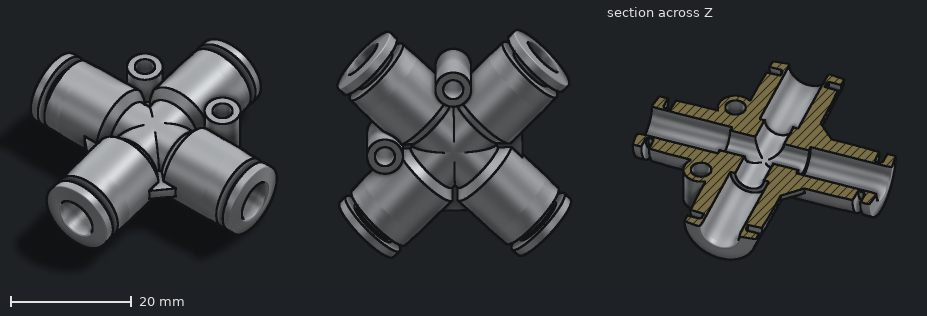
import cadquery as cq
import math

span = 42.6
body_diameter = 13.0
reach = span / 2
body_radius = body_diameter / 2

core_radius = 5.0
body_start = 7.0
cone_root = body_start - (body_radius - core_radius)
taper_start = 14.95
taper_end = 17.0
nose_radius = 6.4
body_end = 18.15
nose_slope = 0.13

neck_radius = 3.95
flange_back = 19.4
neck_flare = 0.3
rim_end = 20.8
rim_round = 0.2

bore_radius = 2.5
socket_radius = 3.35
socket_floor = body_start
lead_in_radius = 3.45
lead_in_depth = 1.1
mouth_round = 0.35
mouth_radius = lead_in_radius + mouth_round

lug_offset = 8.15
lug_radius = 3.0
lug_hole_radius = 1.65

rib_thickness = 2.0
rib_leg = 16.0


def turned(outline):
    """Revolve an open (radius, distance from centre) outline about Y."""
    return outline.close().revolve(360, (0, 0, 0), (0, 1, 0))


def arm():
    """Solid +Y arm: core, shoulder, body and release collar."""
    rim_corner = rim_round * math.sqrt(0.5)
    outline = (
        cq.Workplane("XY")
        .polyline([
            (0, 0),
            (core_radius, 0),
            (core_radius, cone_root),
            (body_radius, body_start),
            (body_radius, taper_start),
            (nose_radius, taper_end),
            (nose_radius, body_end - nose_slope),
            (neck_radius, body_end),
            (neck_radius, flange_back - neck_flare),
            (neck_radius + neck_flare, flange_back),
            (nose_radius, flange_back),
            (nose_radius, rim_end),
        ])
        .threePointArc(
            (nose_radius - rim_round + rim_corner, rim_end + rim_corner),
            (nose_radius - rim_round, rim_end + rim_round),
        )
        .lineTo(mouth_radius, reach)
        .lineTo(0, reach)
    )
    return turned(outline)


def arm_bore():
    """Passage and tube socket of the +Y arm, to be cut away."""
    mouth_corner = mouth_round * math.sqrt(0.5)
    outline = (
        cq.Workplane("XY")
        .polyline([
            (0, 0),
            (bore_radius, 0),
            (bore_radius, socket_floor),
            (socket_radius, socket_floor),
            (socket_radius, reach - lead_in_depth),
            (lead_in_radius, reach - mouth_round),
        ])
        .threePointArc(
            (mouth_radius - mouth_corner, reach - mouth_round + mouth_corner),
            (mouth_radius, reach),
        )
        .lineTo(0, reach)
    )
    return turned(outline)


def around_cross(shape):
    """Fuse four copies of a +Y arm shape, a quarter turn apart."""
    fused = shape
    for turn in (90, 180, 270):
        fused = fused.union(shape.rotate((0, 0, 0), (0, 0, 1), turn))
    return fused


def ribs():
    """Flat webs filling all four corners: a square plate standing on its corner."""
    return (
        cq.Workplane("XY")
        .polyline([(rib_leg, 0), (0, rib_leg), (-rib_leg, 0), (0, -rib_leg)])
        .close()
        .extrude(rib_thickness / 2, both=True)
    )


def lug_cylinders(radius):
    """Full-height upright cylinders at the two lug positions."""
    return (
        cq.Workplane("XY")
        .pushPoints([(-lug_offset, lug_offset), (lug_offset, lug_offset)])
        .circle(radius)
        .extrude(body_radius, both=True)
    )


solid = around_cross(arm()).union(ribs()).union(lug_cylinders(lug_radius))
result = solid.cut(around_cross(arm_bore())).cut(lug_cylinders(lug_hole_radius))